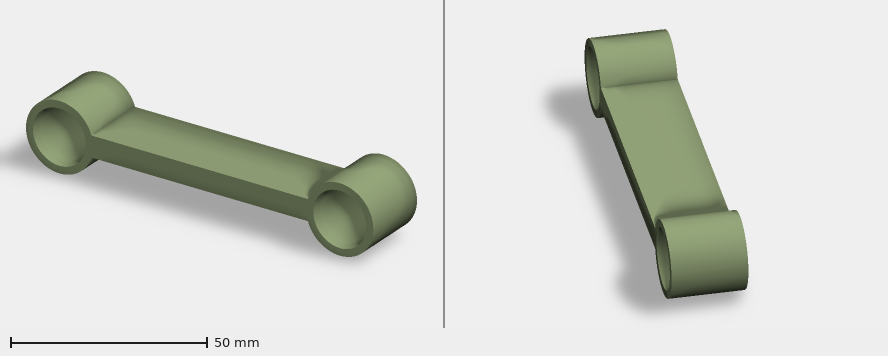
import cadquery as cq

overall_length = 106.5
width = 20.0
eye_diameter = 20.6
bore_diameter = 16.3
bar_thickness = 6.3

eye_spacing = overall_length - eye_diameter
eye_centers = [(-eye_spacing / 2, 0), (eye_spacing / 2, 0)]


def cylinders_at_eyes(diameter):
    """Cylinders along Y, centered on both eye axes."""
    return (
        cq.Workplane("XZ")
        .pushPoints(eye_centers)
        .circle(diameter / 2)
        .extrude(width / 2, both=True)
    )


bar = cq.Workplane("XY").box(eye_spacing, width, bar_thickness)
eyes = cylinders_at_eyes(eye_diameter)
bores = cylinders_at_eyes(bore_diameter)

result = bar.union(eyes).cut(bores)